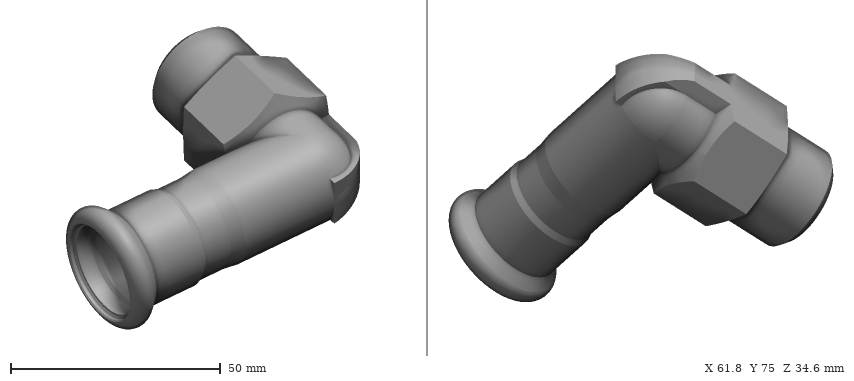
import cadquery as cq
import math


elbow_radius = 25.0 / 2
thread_bore_radius = 20.0 / 2
tube_bore_radius = 20.9 / 2
bend_bore_offset = 0.45

thread_radius = 26.5 / 2
thread_chamfer = 2.1
thread_end_x = -46.05
hex_width = 30.0
hex_start_x = -29.0
hex_shoulder_x = -12.1
hex_taper_end_x = -9.2
hex_corner_radius = hex_width / math.sqrt(3)
hex_face_cone = (hex_corner_radius - thread_radius) * math.tan(math.radians(10))

rib_top_y = hex_width / 2
rib_top_half_width = 3.4
rib_shoulder_half_width = 5.0
rib_shoulder_y = math.sqrt(elbow_radius**2 - rib_shoulder_half_width**2)
rib_base_half_width = 6.6
rib_top_end_x = 0.45
rib_back_x = 7.5
rib_back_y = 10.7

taper_start_y = -25.95
neck_start_y = -29.9
neck_end_y = -37.1
socket_start_y = -38.85
socket_end_y = -51.9
bead_cone_end_y = -54.7
bead_middle_y = -57.2
mouth_y = -60.0
neck_radius = 24 / 2
socket_radius = 25.3 / 2
bead_cone_radius = 15.1
bead_radius = 15.75
mouth_edge_radius = 12.8
mouth_radius = 25.0 / 2
mouth_chamfer = mouth_edge_radius - mouth_radius
lip_radius = 24 / 2
lip_y = -58.9
tube_stop_radius = 22.2 / 2

seal_inner_radius = 23.2 / 2
seal_outer_radius = 14.4
seal_inner_y = -54.15
seal_outer_y = -58.3
socket_bore_radius = seal_inner_radius
stop_cone_end_y = seal_inner_y + 1.1
tube_bore_step_y = neck_end_y


def revolve_about_x(profile):
    return profile.close().revolve(360, (0, 0, 0), (1, 0, 0))


def revolve_about_y(profile):
    return profile.close().revolve(360, (0, 0, 0), (0, 1, 0))


def cylinder_along_x(radius, start_x):
    return cq.Workplane("YZ", origin=(start_x, 0, 0)).circle(radius).extrude(-start_x)


def make_hexagon():
    """Hexagon with two flats facing +Y and -Y and both ends turned conical."""
    prism = (
        cq.Workplane("YZ", origin=(hex_start_x, 0, 0))
        .transformed(rotate=(0, 0, 90))
        .polygon(6, 2 * hex_corner_radius)
        .extrude(hex_taper_end_x - hex_start_x)
    )
    envelope = revolve_about_x(
        cq.Workplane("XY")
        .moveTo(hex_start_x, 0)
        .lineTo(hex_start_x, thread_radius)
        .lineTo(hex_start_x + hex_face_cone, hex_corner_radius)
        .lineTo(hex_shoulder_x, hex_corner_radius)
        .lineTo(hex_taper_end_x, elbow_radius)
        .lineTo(hex_taper_end_x, 0)
    )
    return prism.intersect(envelope)


def make_thread():
    """Plain cylinder for the male thread, chamfered at its open end."""
    blank = cq.Workplane("YZ", origin=(thread_end_x, 0, 0)).circle(thread_radius)
    return blank.extrude(hex_shoulder_x - thread_end_x).faces("<X").chamfer(thread_chamfer)


def make_rib():
    """Rib with sloping sides and a rounded back that follows the bend."""
    cross_section = (
        cq.Workplane("YZ", origin=(hex_shoulder_x, 0, 0))
        .polyline([
            (0, -rib_base_half_width),
            (rib_shoulder_y, -rib_shoulder_half_width),
            (rib_top_y, -rib_top_half_width),
            (rib_top_y, rib_top_half_width),
            (rib_shoulder_y, rib_shoulder_half_width),
            (0, rib_base_half_width),
        ])
        .close()
        .extrude(elbow_radius - hex_shoulder_x)
    )
    side_outline = (
        cq.Workplane("XY")
        .moveTo(hex_shoulder_x, 0)
        .lineTo(hex_shoulder_x, rib_top_y)
        .lineTo(rib_top_end_x, rib_top_y)
        .threePointArc((rib_back_x, rib_back_y), (elbow_radius, 0))
        .close()
        .extrude(rib_base_half_width, both=True)
    )
    return cross_section.intersect(side_outline)


def make_press_arm():
    """Elbow tube, reduced neck, socket and rounded bead as one turned shape."""
    return revolve_about_y(
        cq.Workplane("XY")
        .lineTo(elbow_radius, 0)
        .lineTo(elbow_radius, taper_start_y)
        .lineTo(neck_radius, neck_start_y)
        .lineTo(neck_radius, neck_end_y)
        .lineTo(socket_radius, socket_start_y)
        .lineTo(socket_radius, socket_end_y)
        .lineTo(bead_cone_radius, bead_cone_end_y)
        .threePointArc((bead_radius, bead_middle_y), (mouth_edge_radius, mouth_y))
        .lineTo(0, mouth_y)
    )


def make_press_bore():
    """Stepped bore from the mouth up to the rounded cavity of the bend."""
    centre_y = -bend_bore_offset
    arc_middle = tube_bore_radius * math.sqrt(0.5)
    return revolve_about_y(
        cq.Workplane("XY")
        .moveTo(0, mouth_y)
        .lineTo(mouth_edge_radius, mouth_y)
        .lineTo(mouth_radius, mouth_y + mouth_chamfer)
        .lineTo(mouth_radius, lip_y)
        .lineTo(lip_radius, seal_outer_y)
        .lineTo(socket_bore_radius, seal_outer_y)
        .lineTo(socket_bore_radius, seal_inner_y)
        .lineTo(tube_stop_radius, stop_cone_end_y)
        .lineTo(tube_stop_radius, tube_bore_step_y)
        .lineTo(tube_bore_radius, tube_bore_step_y)
        .lineTo(tube_bore_radius, centre_y)
        .threePointArc((arc_middle, centre_y + arc_middle), (0, centre_y + tube_bore_radius))
    )


def make_seal():
    """Ring with a straight bore and a rounded outside, seated in the groove of the bead."""
    seal_middle_y = (seal_inner_y + seal_outer_y) / 2
    return revolve_about_y(
        cq.Workplane("XY")
        .moveTo(seal_inner_radius, seal_inner_y)
        .threePointArc((seal_outer_radius, seal_middle_y), (seal_inner_radius, seal_outer_y))
    )


def make_housing(seal):
    outer = (
        make_press_arm()
        .union(cylinder_along_x(elbow_radius, hex_shoulder_x))
        .union(cq.Workplane("XY").sphere(elbow_radius))
        .union(make_rib())
        .union(make_hexagon())
        .union(make_thread())
    )
    return (
        outer
        .cut(cylinder_along_x(thread_bore_radius, thread_end_x))
        .cut(make_press_bore())
        .cut(seal)
    )


seal = make_seal()
housing = make_housing(seal)

result = cq.Compound.makeCompound([*housing.solids().vals(), *seal.solids().vals()])